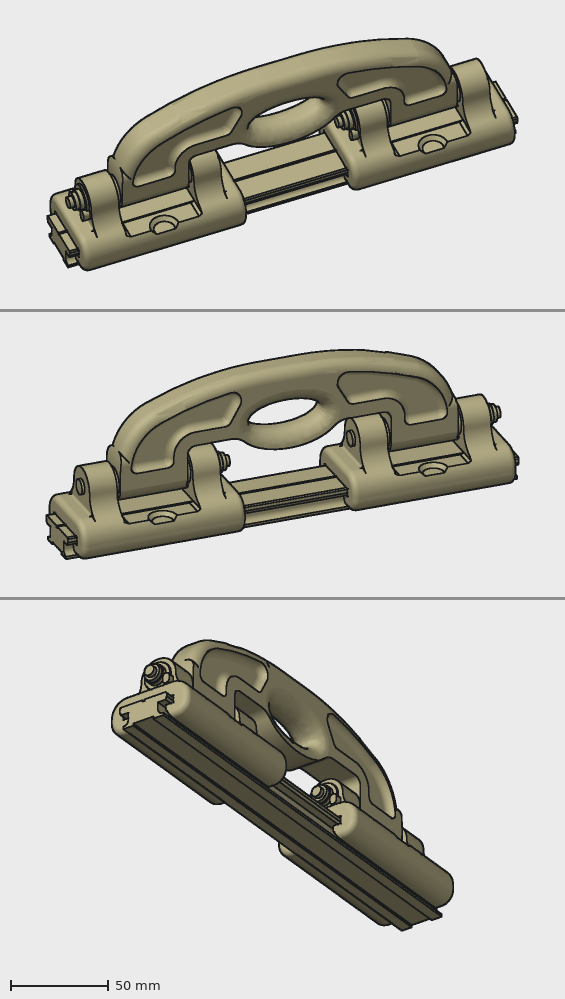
import cadquery as cq
import math

RAIL_LENGTH = 250.0
RAIL_TOP = 13.2
RAIL_HEAD_HALF = 14.8
RAIL_HEAD_CHAMFER = 0.8
RAIL_HEAD_UNDERCUT = 1.8
RAIL_SHELF = 8.8
RAIL_STEM_HALF = 9.2
RAIL_FOOT_HALF = 12.5
RAIL_FOOT_HEIGHT = 1.5
RAIL_FOOT_RADIUS = 3.0
RAIL_GROOVE_WIDTH = 1.2
RAIL_GROOVE_DEPTH = 0.8
RAIL_RELIEF_HALF = 6.2
RAIL_RELIEF_DEPTH = 1.2

BASE_OFFSET = 75.0
BASE_LENGTH = 90.8
BASE_HALF = 24.5
BASE_BOTTOM = 1.5
BASE_TOP = 22.8
SHOULDER_RADIUS = 10.5
SKIRT_RADIUS = 8.0
BASE_END_FILLET = 3.2
SLOT_HALF = 15.8
LIP_HALF = 11.0
LIP_BEVEL_TOP = 5.8
LIP_BEVEL = 2.5

PIVOT_Z = 33.5
LUG_RADIUS = 10.8
LUG_THICKNESS = 15.2
LUG_GAP = 42.0
LUG_FOOT_FILLET = 1.2
FLOOR_Z = 19.8
PAD_DROP = 0.8
PAD_INNER_HALF = 11.2
PAD_RAMP = 2.0

SCREW_X = 21.5
SCREW_TOP_DIAMETER = 15.2
SCREW_FLOOR_DIAMETER = 11.0
SCREW_FLOOR_Z = 16.8

HANDLE_HALF = 9.5
HANDLE_TOP = 84.2
CROWN_HALF = 11.2
CROWN_RADIUS = 165.0
HAUNCH_RADIUS = 32.5
RIM_FILLET = 6.0
LEG_LENGTH = 37.2
LEG_OUTER_Y = BASE_OFFSET + LEG_LENGTH / 2
LEG_INNER_Y = BASE_OFFSET - LEG_LENGTH / 2
LEG_TOP = 51.5
ARCH_END = 43.8
UNDERSIDE_Z = 50.2
UNDERSIDE_FILLET = 4.5
EYE_BLEND = 11.2
LEG_ROUND_TOP = 31.5
LEG_BOTTOM = 23.2
LEG_LIP_LENGTH = 39.2
LEG_LIP_TOP = 27.5

EYE_Z = 56.0
EYE_HALF_LENGTH = 20.2
EYE_HALF_HEIGHT = 8.0
EYE_BORDER = 8.8
EYE_FILLET = 8.0

POCKET_DEPTH = 4.2
POCKET_FILLET = 3.8
POCKET_CORNER = 3.5
POCKET_TIP_CORNER = 5.5
POCKET_BOTTOM = 40.2
POCKET_INNER_Y = 64.0
POCKET_LEDGE_Z = 58.0
POCKET_BEND = 12.0
POCKET_TIP_Y = 33.5
POCKET_TIP_SLOPE = 60.0

SPACER_DIAMETER = 15.8
WASHER_THICKNESS = 1.2
HEAD_DIAMETER = 8.2
HEAD_THICKNESS = 1.5
COLLAR_DIAMETER = 11.0
COLLAR_THICKNESS = 2.5
NUT_DIAMETER = 9.5
NUT_THICKNESS = 2.2
TIP_DIAMETER = 6.0
TIP_LENGTH = 2.5
CLIP_WIDTH = 4.2
CLIP_HEIGHT = 6.0
CLIP_X = 7.2
CLIP_Z = 28.8

EDGE_MARGIN = 0.2


def along_y(profile, length, center_y=0.0):
    """Extrude an XZ profile along Y, centred on center_y."""
    return profile.extrude(length / 2, both=True).translate((0, center_y, 0))


def y_cylinder(diameter, y_start, length):
    """Cylinder on the pivot axis, from y_start towards -Y."""
    return (
        cq.Workplane("XZ", origin=(0, y_start, PIVOT_Z))
        .circle(diameter / 2)
        .extrude(length)
    )


def make_rail():
    half = (
        cq.Workplane("XZ")
        .moveTo(0, RAIL_RELIEF_DEPTH)
        .lineTo(RAIL_RELIEF_HALF, RAIL_RELIEF_DEPTH)
        .lineTo(RAIL_RELIEF_HALF, 0)
        .lineTo(RAIL_FOOT_HALF, 0)
        .lineTo(RAIL_FOOT_HALF, RAIL_FOOT_HEIGHT)
        .lineTo(RAIL_STEM_HALF + RAIL_FOOT_RADIUS, RAIL_FOOT_HEIGHT)
        .radiusArc((RAIL_STEM_HALF, RAIL_FOOT_HEIGHT + RAIL_FOOT_RADIUS), RAIL_FOOT_RADIUS)
        .lineTo(RAIL_STEM_HALF, RAIL_SHELF)
        .lineTo(RAIL_HEAD_HALF - RAIL_HEAD_CHAMFER, RAIL_SHELF)
        .lineTo(RAIL_HEAD_HALF, RAIL_SHELF + RAIL_HEAD_UNDERCUT)
        .lineTo(RAIL_HEAD_HALF, RAIL_TOP - RAIL_HEAD_CHAMFER)
        .lineTo(RAIL_HEAD_HALF - RAIL_HEAD_CHAMFER, RAIL_TOP)
        .lineTo(RAIL_GROOVE_WIDTH / 2, RAIL_TOP)
        .lineTo(RAIL_GROOVE_WIDTH / 2, RAIL_TOP - RAIL_GROOVE_DEPTH)
        .lineTo(0, RAIL_TOP - RAIL_GROOVE_DEPTH)
        .mirrorY()
    )
    return along_y(half, RAIL_LENGTH)


def shoulder_center():
    return BASE_HALF - SHOULDER_RADIUS, BASE_TOP - SHOULDER_RADIUS


def make_base_body():
    shoulder_x, shoulder_z = shoulder_center()
    half = (
        cq.Workplane("XZ")
        .moveTo(0, BASE_TOP)
        .lineTo(shoulder_x, BASE_TOP)
        .radiusArc((BASE_HALF, shoulder_z), SHOULDER_RADIUS)
        .lineTo(BASE_HALF, BASE_BOTTOM + SKIRT_RADIUS)
        .radiusArc((BASE_HALF - SKIRT_RADIUS, BASE_BOTTOM), SKIRT_RADIUS)
        .lineTo(0, BASE_BOTTOM)
        .mirrorY()
    )
    return along_y(half, BASE_LENGTH).faces("<Y or >Y").edges().fillet(BASE_END_FILLET)


def make_lugs():
    """Lug profile: round head flowing through concave flanks onto the base shoulders."""
    shoulder_x, shoulder_z = shoulder_center()
    inset = shoulder_x - LUG_RADIUS
    rise = PIVOT_Z - shoulder_z
    flank_radius = (inset**2 + rise**2 - SHOULDER_RADIUS**2) / (2 * (SHOULDER_RADIUS + inset))
    share = SHOULDER_RADIUS / (SHOULDER_RADIUS + flank_radius)
    foot_x = shoulder_x + (LUG_RADIUS + flank_radius - shoulder_x) * share
    foot_z = shoulder_z + rise * share
    half = (
        cq.Workplane("XZ")
        .moveTo(0, PIVOT_Z + LUG_RADIUS)
        .radiusArc((LUG_RADIUS, PIVOT_Z), LUG_RADIUS)
        .radiusArc((foot_x, foot_z), -flank_radius)
        .lineTo(shoulder_x, shoulder_z)
        .lineTo(0, shoulder_z)
        .mirrorY()
    )
    return along_y(half, LUG_GAP + 2 * LUG_THICKNESS)


def make_lug_foot():
    """Concave fillet where the +Y lug rises from the flat base top."""
    lug_end = LUG_GAP / 2 + LUG_THICKNESS
    return (
        cq.Workplane("YZ")
        .moveTo(lug_end, BASE_TOP)
        .lineTo(lug_end + LUG_FOOT_FILLET, BASE_TOP)
        .radiusArc((lug_end, BASE_TOP + LUG_FOOT_FILLET), LUG_FOOT_FILLET)
        .close()
        .extrude(BASE_HALF - SHOULDER_RADIUS, both=True)
    )


def make_slot():
    half = (
        cq.Workplane("XZ")
        .moveTo(0, RAIL_TOP)
        .lineTo(SLOT_HALF, RAIL_TOP)
        .lineTo(SLOT_HALF, RAIL_SHELF)
        .lineTo(LIP_HALF, RAIL_SHELF)
        .lineTo(LIP_HALF, LIP_BEVEL_TOP)
        .lineTo(LIP_HALF + LIP_BEVEL, BASE_BOTTOM)
        .lineTo(LIP_HALF + LIP_BEVEL, 0)
        .lineTo(0, 0)
        .mirrorY()
    )
    return along_y(half, RAIL_LENGTH)


def make_side_pad(side):
    """Cutter for one lowered pad with ramped ends."""
    width = BASE_HALF - PAD_INNER_HALF
    return (
        cq.Workplane("YZ", origin=(side * (PAD_INNER_HALF + width / 2), 0, 0))
        .moveTo(-LUG_GAP / 2, FLOOR_Z)
        .lineTo(PAD_RAMP - LUG_GAP / 2, FLOOR_Z - PAD_DROP)
        .lineTo(LUG_GAP / 2 - PAD_RAMP, FLOOR_Z - PAD_DROP)
        .lineTo(LUG_GAP / 2, FLOOR_Z)
        .close()
        .extrude(width / 2, both=True)
    )


def make_screw_recess(side):
    return (
        cq.Workplane("XY", origin=(side * SCREW_X, 0, SCREW_FLOOR_Z))
        .circle(SCREW_FLOOR_DIAMETER / 2)
        .workplane(offset=FLOOR_Z - PAD_DROP - SCREW_FLOOR_Z)
        .circle(SCREW_TOP_DIAMETER / 2)
        .loft()
    )


def make_base():
    """One carriage centred on Y = 0: body, lugs, rail slot, pads and screw recesses."""
    base = make_base_body().union(make_lugs())
    foot = make_lug_foot()
    base = base.union(foot).union(foot.mirror("XZ"))
    gap_height = PIVOT_Z + LUG_RADIUS - FLOOR_Z
    gap = cq.Workplane("XY", origin=(0, 0, FLOOR_Z)).box(
        2 * BASE_HALF, LUG_GAP, gap_height, centered=(True, True, False)
    )
    base = base.cut(gap).cut(make_slot())
    for side in (-1, 1):
        base = base.cut(make_side_pad(side)).cut(make_screw_recess(side))
    return base


def make_pin():
    """Pivot pin with a spacer, a head at +Y and washer, collar, nut and tip at -Y."""
    lug_end = LUG_GAP / 2 + LUG_THICKNESS
    pin = y_cylinder(SPACER_DIAMETER, LUG_GAP / 2, LUG_GAP)
    pin = pin.union(y_cylinder(HEAD_DIAMETER, lug_end + HEAD_THICKNESS, HEAD_THICKNESS))
    y = -lug_end
    stack = (
        (SPACER_DIAMETER, WASHER_THICKNESS),
        (COLLAR_DIAMETER, COLLAR_THICKNESS),
        (NUT_DIAMETER, NUT_THICKNESS),
        (TIP_DIAMETER, TIP_LENGTH),
    )
    for diameter, thickness in stack:
        pin = pin.union(y_cylinder(diameter, y, thickness))
        y -= thickness
    clip = (
        cq.Workplane("XZ", origin=(CLIP_X, -lug_end, CLIP_Z))
        .slot2D(CLIP_HEIGHT, CLIP_WIDTH, 90)
        .extrude(WASHER_THICKNESS + COLLAR_THICKNESS)
    )
    return pin.union(clip)


CROWN_CENTER_Z = HANDLE_TOP - CROWN_RADIUS
HAUNCH_CENTER_Y = LEG_OUTER_Y - HAUNCH_RADIUS
JOINT_ANGLE = math.asin((HAUNCH_CENTER_Y - CROWN_HALF) / (CROWN_RADIUS - HAUNCH_RADIUS))
HAUNCH_CENTER_Z = CROWN_CENTER_Z + (CROWN_RADIUS - HAUNCH_RADIUS) * math.cos(JOINT_ANGLE)


def joint_point(inset):
    """Where the crown arc meets the haunch arc, moved inwards by inset."""
    radius = CROWN_RADIUS - inset
    return (
        CROWN_HALF + radius * math.sin(JOINT_ANGLE),
        CROWN_CENTER_Z + radius * math.cos(JOINT_ANGLE),
    )


def haunch_point(z):
    """Point of the haunch arc at height z."""
    return HAUNCH_CENTER_Y + math.sqrt(HAUNCH_RADIUS**2 - (z - HAUNCH_CENTER_Z) ** 2), z


def make_arch():
    """Handle bow above the legs, with sharp edges."""
    half = (
        cq.Workplane("YZ")
        .moveTo(0, HANDLE_TOP)
        .lineTo(CROWN_HALF, HANDLE_TOP)
        .radiusArc(joint_point(0), CROWN_RADIUS)
        .radiusArc(haunch_point(ARCH_END), HAUNCH_RADIUS)
        .lineTo(LEG_INNER_Y, ARCH_END)
        .lineTo(LEG_INNER_Y, UNDERSIDE_Z)
        .lineTo(0, UNDERSIDE_Z)
        .mirrorY()
    )
    return half.extrude(HANDLE_HALF, both=True)


def make_eye_disc():
    return (
        cq.Workplane("YZ", origin=(-HANDLE_HALF, 0, EYE_Z))
        .ellipse(EYE_HALF_LENGTH + EYE_BORDER, EYE_HALF_HEIGHT + EYE_BORDER)
        .extrude(2 * HANDLE_HALF)
    )


def make_leg():
    """The +Y leg: rounded bottom, longer bottom lip, top corners fading into the rim rounding."""
    profile = (
        cq.Workplane("XZ")
        .moveTo(RIM_FILLET - HANDLE_HALF, LEG_TOP)
        .lineTo(HANDLE_HALF - RIM_FILLET, LEG_TOP)
        .radiusArc((HANDLE_HALF, LEG_TOP - RIM_FILLET), RIM_FILLET)
        .lineTo(HANDLE_HALF, LEG_ROUND_TOP)
        .threePointArc((0, LEG_BOTTOM), (-HANDLE_HALF, LEG_ROUND_TOP))
        .lineTo(-HANDLE_HALF, LEG_TOP - RIM_FILLET)
        .radiusArc((RIM_FILLET - HANDLE_HALF, LEG_TOP), RIM_FILLET)
        .close()
    )
    lip = (LEG_LIP_LENGTH - LEG_LENGTH) / 2
    silhouette = (
        cq.Workplane("YZ")
        .moveTo(*haunch_point(LEG_TOP))
        .radiusArc((LEG_OUTER_Y, HAUNCH_CENTER_Z), HAUNCH_RADIUS)
        .lineTo(LEG_OUTER_Y, LEG_LIP_TOP)
        .lineTo(LEG_OUTER_Y + lip, LEG_LIP_TOP)
        .lineTo(LEG_OUTER_Y + lip, LEG_BOTTOM)
        .lineTo(LEG_INNER_Y - lip, LEG_BOTTOM)
        .lineTo(LEG_INNER_Y - lip, LEG_LIP_TOP)
        .lineTo(LEG_INNER_Y, LEG_LIP_TOP)
        .lineTo(LEG_INNER_Y, LEG_TOP)
        .close()
        .extrude(HANDLE_HALF, both=True)
    )
    return along_y(profile, LEG_LIP_LENGTH, BASE_OFFSET).intersect(silhouette)


def make_pocket():
    """Cutter for one side pocket, open on the +X side of the +Y half."""
    crown_inner = CROWN_RADIUS - RIM_FILLET
    slope = math.radians(POCKET_TIP_SLOPE)
    from_center_y = POCKET_TIP_Y - CROWN_HALF
    from_center_z = POCKET_LEDGE_Z - CROWN_CENTER_Z
    along = from_center_z * math.sin(slope) - from_center_y * math.cos(slope)
    reach = math.sqrt(along**2 + crown_inner**2 - from_center_y**2 - from_center_z**2) - along
    tip_y = POCKET_TIP_Y - reach * math.cos(slope)
    tip_z = POCKET_LEDGE_Z + reach * math.sin(slope)
    wall_y = LEG_OUTER_Y - RIM_FILLET
    bend_y = POCKET_INNER_Y - POCKET_BEND
    bend_z = POCKET_LEDGE_Z - POCKET_BEND
    pocket = (
        cq.Workplane("YZ", origin=(HANDLE_HALF - POCKET_DEPTH, 0, 0))
        .moveTo(tip_y, tip_z)
        .radiusArc(joint_point(RIM_FILLET), crown_inner)
        .radiusArc((wall_y, HAUNCH_CENTER_Z), HAUNCH_RADIUS - RIM_FILLET)
        .lineTo(wall_y, POCKET_BOTTOM)
        .lineTo(POCKET_INNER_Y, POCKET_BOTTOM)
        .lineTo(POCKET_INNER_Y, bend_z)
        .radiusArc((bend_y, POCKET_LEDGE_Z), -POCKET_BEND)
        .lineTo(POCKET_TIP_Y, POCKET_LEDGE_Z)
        .close()
        .extrude(2 * POCKET_DEPTH)
    )
    foot_zone = cq.selectors.BoxSelector(
        (0, bend_y, 0), (BASE_HALF, LEG_OUTER_Y, POCKET_BOTTOM + EDGE_MARGIN)
    )
    ledge_corner = cq.selectors.NearestToPointSelector((HANDLE_HALF, POCKET_TIP_Y, POCKET_LEDGE_Z))
    pocket = pocket.edges(foot_zone).edges("|X").fillet(POCKET_CORNER)
    pocket = pocket.edges("|X").edges("<Y").fillet(POCKET_TIP_CORNER)
    pocket = pocket.edges("|X").edges(ledge_corner).fillet(POCKET_CORNER)
    return pocket.faces("<X").edges().fillet(POCKET_FILLET)


def edge_zone(y, z):
    """Selector for edges centred at height z and between -y and y."""
    return cq.selectors.BoxSelector(
        (-BASE_HALF, -y - EDGE_MARGIN, z - EDGE_MARGIN), (BASE_HALF, y + EDGE_MARGIN, z + EDGE_MARGIN)
    )


def make_handle():
    """Bow with finger eye, two legs and four side pockets."""
    handle = make_arch()
    handle = handle.edges(edge_zone(LEG_INNER_Y, UNDERSIDE_Z)).edges("|X").fillet(UNDERSIDE_FILLET)
    handle = handle.union(make_eye_disc())
    sag = (EYE_Z - UNDERSIDE_Z) / (EYE_HALF_HEIGHT + EYE_BORDER)
    eye_side = (EYE_HALF_LENGTH + EYE_BORDER) * math.sqrt(1 - sag**2)
    handle = handle.edges(edge_zone(eye_side, UNDERSIDE_Z)).fillet(EYE_BLEND)
    handle = handle.edges(edge_zone(0, HANDLE_TOP)).edges("|Y").fillet(RIM_FILLET)
    hole = (
        cq.Workplane("YZ", origin=(0, 0, EYE_Z))
        .ellipse(EYE_HALF_LENGTH, EYE_HALF_HEIGHT)
        .extrude(HANDLE_HALF, both=True)
    )
    handle = handle.cut(hole)
    handle = handle.edges(edge_zone(0, EYE_Z)).edges("%ELLIPSE").fillet(EYE_FILLET)
    leg = make_leg()
    handle = handle.union(leg).union(leg.mirror("XZ"))
    pocket = make_pocket()
    for cutter in (pocket, pocket.mirror("XZ")):
        handle = handle.cut(cutter).cut(cutter.mirror("YZ"))
    return handle


carriage = make_base().union(make_pin())
result = make_rail().union(make_handle())
for base_y in (-BASE_OFFSET, BASE_OFFSET):
    result = result.union(carriage.translate((0, base_y, 0)))